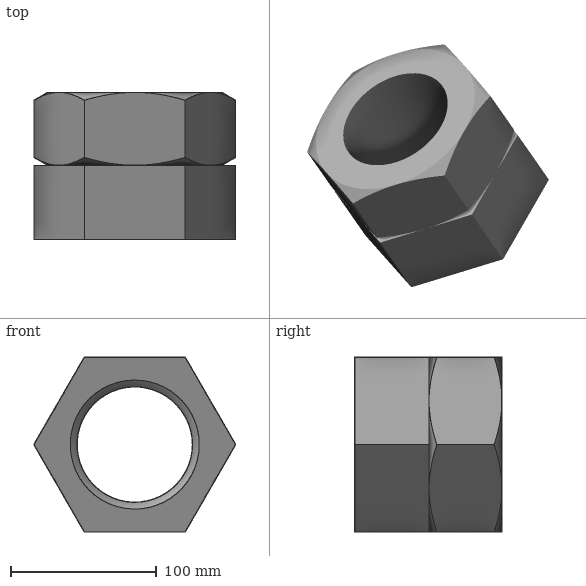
import cadquery as cq
import math

across_flats = 120.0
across_corners = across_flats / math.cos(math.radians(30))
total_length = 101.1
chamfered_nut_height = 50.0
plain_nut_height = total_length - chamfered_nut_height
front_y = -plain_nut_height
back_y = chamfered_nut_height

bore_diameter = 79.0
countersink_diameter = 88.5
countersink_included_angle = 120.0

sleeve_diameter = countersink_diameter

corner_chamfer_angle = 30.0
corner_chamfer_depth = (across_corners - across_flats) / 2 * math.tan(math.radians(corner_chamfer_angle))


def make_hexagon(start_y, height):
    """Hexagonal bar along +Y with two corners in the XY plane."""
    return cq.Workplane("XZ", origin=(0, start_y, 0)).polygon(6, across_corners).extrude(-height)


def make_cylinder(diameter, start_y, height):
    """Round bar along +Y."""
    return cq.Workplane("XZ", origin=(0, start_y, 0)).circle(diameter / 2).extrude(-height)


def revolve_about_y(points):
    """Revolve an outline of (radius, y) points about the Y axis."""
    return cq.Workplane("XY").polyline(points).close().revolve(360, (0, 0, 0), (0, 1, 0))


def make_countersink():
    """Cone that opens towards the front face."""
    radius = countersink_diameter / 2
    cone_height = radius / math.tan(math.radians(countersink_included_angle / 2))
    return revolve_about_y([
        (0, front_y),
        (radius, front_y),
        (0, front_y + cone_height),
    ])


def make_corner_envelope():
    """Cylinder with coned ends that trims the hexagon corners on both faces."""
    face_radius = across_flats / 2
    corner_radius = across_corners / 2
    return revolve_about_y([
        (0, 0),
        (face_radius, 0),
        (corner_radius, corner_chamfer_depth),
        (corner_radius, back_y - corner_chamfer_depth),
        (face_radius, back_y),
        (0, back_y),
    ])


def make_plain_nut():
    """Sharp-cornered hexagon with a sleeve behind it and a through bore."""
    hexagon = make_hexagon(front_y, plain_nut_height)
    sleeve = make_cylinder(sleeve_diameter, front_y, total_length)
    bore = make_cylinder(bore_diameter, front_y, total_length)
    return hexagon.union(sleeve).cut(bore).cut(make_countersink())


def make_chamfered_nut():
    """Hexagon ring with chamfered corners that fits around the sleeve."""
    hexagon = make_hexagon(0, chamfered_nut_height)
    sleeve_hole = make_cylinder(sleeve_diameter, 0, chamfered_nut_height)
    return hexagon.intersect(make_corner_envelope()).cut(sleeve_hole)


plain_nut = make_plain_nut()
chamfered_nut = make_chamfered_nut()

result = cq.Compound.makeCompound([plain_nut.solids().val(), chamfered_nut.solids().val()])